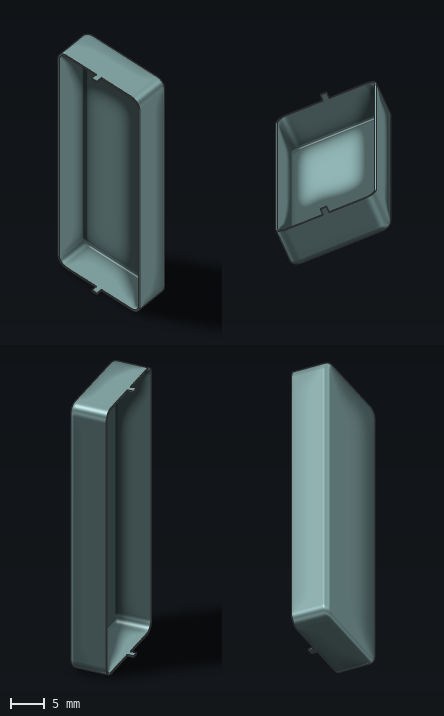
import cadquery as cq

width = 16.2
height = 45.3
overall_depth = 7.0

wall = 0.3
corner_radius = 1.8
back_edge_radius = 0.8

tab_width = 1.0
tab_length = 1.0

tray_depth = overall_depth - tab_length


def rounded_block(inset):
    """Tray envelope moved inward by inset on its sides and back, open face at Y = 0."""
    return (
        cq.Workplane("XZ")
        .rect(width - 2 * inset, height - 2 * inset)
        .extrude(-(tray_depth - inset))
        .edges("|Y")
        .fillet(corner_radius - inset)
        .faces(">Y")
        .edges()
        .fillet(back_edge_radius - inset)
    )


tray = rounded_block(0).cut(rounded_block(wall))

tab_overlap = wall
tab_center_z = (height - wall) / 2
tabs = (
    cq.Workplane("XZ", origin=(0, tab_overlap, 0))
    .pushPoints([(0, -tab_center_z), (0, tab_center_z)])
    .rect(tab_width, wall)
    .extrude(tab_length + tab_overlap)
)

result = tray.union(tabs)